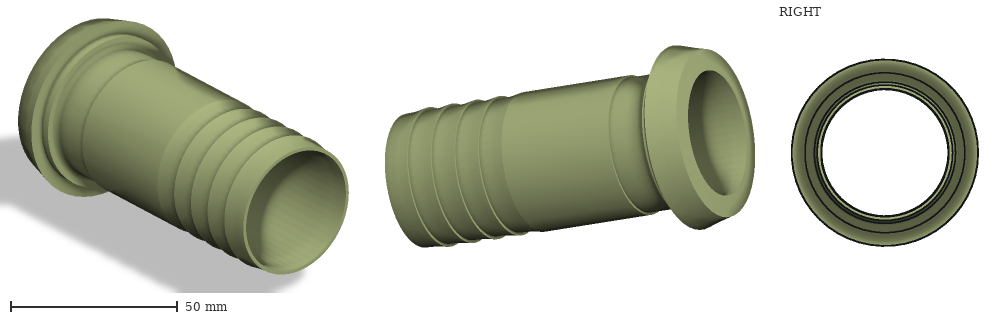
import cadquery as cq
import math

FACE_EDGE_X = 0.55
HEAD_END_X = 10.0
COLLAR_END_X = 13.0
NECK_END_X = 26.0
SLEEVE_END_X = 62.0

FACE_DIAMETER = 51.0
HEAD_DIAMETER = 56.0
COLLAR_DIAMETER = 48.0
NECK_DIAMETER = 41.0
SLEEVE_DIAMETER = 42.4
BARB_ROOT_DIAMETER = 40.6
NECK_FILLET_RADIUS = 1.5

BARB_COUNT = 5
BARB_PITCH = 8.0

HEAD_BORE_DIAMETER = 38.0
SLEEVE_BORE_DIAMETER = 38.4
BORE_STEP_X = NECK_END_X

TAIL_END_X = SLEEVE_END_X + BARB_COUNT * BARB_PITCH


def add_head(outline):
    """Coned front face, sealing cone and the collar behind it."""
    return (
        outline.lineTo(FACE_EDGE_X, FACE_DIAMETER / 2)
        .lineTo(HEAD_END_X, HEAD_DIAMETER / 2)
        .lineTo(HEAD_END_X, COLLAR_DIAMETER / 2)
        .lineTo(COLLAR_END_X, COLLAR_DIAMETER / 2)
    )


def add_neck_and_sleeve(outline):
    """Neck with a concave fillet against the collar, then the plain sleeve."""
    neck_radius = NECK_DIAMETER / 2
    fillet_sag = NECK_FILLET_RADIUS * (1 - math.cos(math.radians(45)))
    return (
        outline.lineTo(COLLAR_END_X, neck_radius + NECK_FILLET_RADIUS)
        .threePointArc(
            (COLLAR_END_X + fillet_sag, neck_radius + fillet_sag),
            (COLLAR_END_X + NECK_FILLET_RADIUS, neck_radius),
        )
        .lineTo(NECK_END_X, neck_radius)
        .lineTo(NECK_END_X, SLEEVE_DIAMETER / 2)
        .lineTo(SLEEVE_END_X, SLEEVE_DIAMETER / 2)
    )


def add_barbs(outline):
    """Barbs that start at a sharp crest and sweep down, levelling out at the root."""
    crest_radius = SLEEVE_DIAMETER / 2
    root_radius = BARB_ROOT_DIAMETER / 2
    depth = crest_radius - root_radius
    sweep_radius = (BARB_PITCH**2 + depth**2) / (2 * depth)
    half_pitch = BARB_PITCH / 2
    middle_radius = root_radius + sweep_radius - math.sqrt(sweep_radius**2 - half_pitch**2)
    for index in range(BARB_COUNT):
        crest_x = SLEEVE_END_X + index * BARB_PITCH
        if index > 0:
            outline = outline.lineTo(crest_x, crest_radius)
        outline = outline.threePointArc(
            (crest_x + half_pitch, middle_radius),
            (crest_x + BARB_PITCH, root_radius),
        )
    return outline


def add_bore(outline):
    """Bore from the tail back to the front face, with a small step inside."""
    return (
        outline.lineTo(TAIL_END_X, SLEEVE_BORE_DIAMETER / 2)
        .lineTo(BORE_STEP_X, SLEEVE_BORE_DIAMETER / 2)
        .lineTo(BORE_STEP_X, HEAD_BORE_DIAMETER / 2)
    )


outline = cq.Workplane("XY").moveTo(0, HEAD_BORE_DIAMETER / 2)
outline = add_head(outline)
outline = add_neck_and_sleeve(outline)
outline = add_barbs(outline)
outline = add_bore(outline).close()

result = outline.revolve(360, (0, 0, 0), (1, 0, 0))